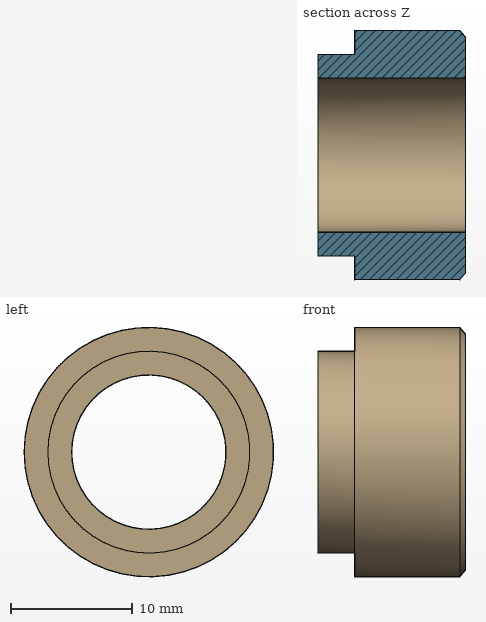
import cadquery as cq

body_diameter = 20.57
spigot_diameter = 16.65
bore_diameter = 12.7
total_length = 12.2
spigot_length = 3.05
chamfer_length = 0.5
chamfer_depth = 0.58

body_radius = body_diameter / 2
spigot_radius = spigot_diameter / 2
bore_radius = bore_diameter / 2

half_section = (
    cq.Workplane("XY")
    .moveTo(0, bore_radius)
    .lineTo(0, spigot_radius)
    .lineTo(spigot_length, spigot_radius)
    .lineTo(spigot_length, body_radius)
    .lineTo(total_length - chamfer_length, body_radius)
    .lineTo(total_length, body_radius - chamfer_depth)
    .lineTo(total_length, bore_radius)
    .close()
)

result = half_section.revolve(360, (0, 0, 0), (1, 0, 0))